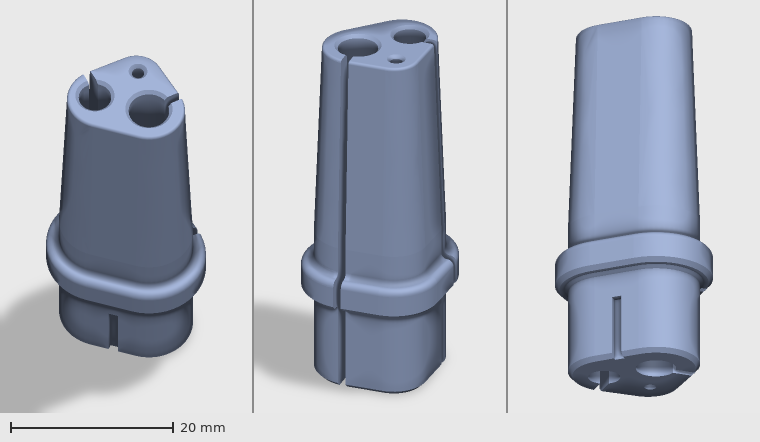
import cadquery as cq
import math

corner_x = 2.95
apex_y = 4.3
flange_corner_radius = 7.03
flange_apex_radius = 5.845
flange_overhang = 1.6
taper_inset = 1.0

total_height = 45.5
flange_bottom = 11.5
flange_top = 15.55
taper_start = 19.55

bottom_chamfer = 0.55
flange_lower_chamfer = 0.55
flange_upper_fillet = 0.8
lower_neck_chamfer = 0.4
upper_neck_fillet = 0.7
top_fillet = 0.35
hole_chamfer = 0.4

holes = [(corner_x, 0, 5.0), (-4.0, 0, 4.0), (0, 5.05, 1.5)]

slit_width = 1.0
slit_angle = 45.0
slit_length = 13.65

key_width = 1.27
key_height = 8.0
key_depth = 1.0


def outline(inset, z):
    """Closed rounded-triangle wire at height z, inset from the flange outline."""
    corner_radius = flange_corner_radius - inset
    apex_radius = flange_apex_radius - inset
    spacing = math.hypot(corner_x, apex_y)
    normal_angle = math.atan2(apex_y, -corner_x) - math.acos((corner_radius - apex_radius) / spacing)
    nx = math.cos(normal_angle)
    ny = math.sin(normal_angle)
    mid_angle = (normal_angle - math.pi / 2) / 2
    mid_x = corner_x + corner_radius * math.cos(mid_angle)
    mid_y = corner_radius * math.sin(mid_angle)
    tangent_x = corner_x + corner_radius * nx
    tangent_y = corner_radius * ny
    apex_tangent_x = apex_radius * nx
    apex_tangent_y = apex_y + apex_radius * ny
    return (
        cq.Workplane("XY", origin=(0, 0, z))
        .moveTo(-corner_x, -corner_radius)
        .lineTo(corner_x, -corner_radius)
        .threePointArc((mid_x, mid_y), (tangent_x, tangent_y))
        .lineTo(apex_tangent_x, apex_tangent_y)
        .threePointArc((0, apex_y + apex_radius), (-apex_tangent_x, apex_tangent_y))
        .lineTo(-tangent_x, tangent_y)
        .threePointArc((-mid_x, mid_y), (-corner_x, -corner_radius))
        .close()
    )


def front_edge(inset, z):
    """Selector for the straight front edge of an outline at height z."""
    return cq.selectors.NearestToPointSelector((0, inset - flange_corner_radius, z))


def make_body():
    flange = outline(0, flange_bottom).extrude(flange_top - flange_bottom)
    flange = flange.faces("<Z").chamfer(flange_lower_chamfer)
    flange = flange.edges(front_edge(0, flange_top)).fillet(flange_upper_fillet)

    core = outline(flange_overhang, 0).extrude(taper_start)
    core = core.faces("<Z").chamfer(bottom_chamfer)

    taper_height = total_height - taper_start
    draft = math.degrees(math.atan(taper_inset / taper_height))
    sleeve = outline(flange_overhang, taper_start).extrude(taper_height, taper=draft)
    sleeve = sleeve.faces(">Z").edges().fillet(top_fillet)

    body = flange.union(core).union(sleeve)
    body = body.edges(front_edge(flange_overhang, flange_top)).fillet(upper_neck_fillet)
    return body.edges(front_edge(flange_overhang, flange_bottom)).chamfer(lower_neck_chamfer)


def hole_cutter(x, y, diameter):
    """Through hole with a chamfered mouth at the top."""
    bore = cq.Workplane("XY").center(x, y).circle(diameter / 2).extrude(total_height)
    mouth = (
        cq.Workplane("XY", origin=(x, y, total_height - hole_chamfer))
        .circle(diameter / 2)
        .workplane(offset=hole_chamfer)
        .circle(diameter / 2 + hole_chamfer)
        .loft()
    )
    return bore.union(mouth)


def slit_cutter(side):
    """Full-height slit running outward and rearward; side is +1 or -1."""
    direction = slit_angle if side > 0 else 180 - slit_angle
    return (
        cq.Workplane("XY")
        .box(slit_length, slit_width, total_height, centered=(False, True, False))
        .rotate((0, 0, 0), (0, 0, 1), direction)
        .translate((side * corner_x, 0, 0))
    )


def key_cutter():
    front_y = flange_overhang - flange_corner_radius
    return (
        cq.Workplane("XY", origin=(0, front_y, 0))
        .box(key_width, key_depth, key_height, centered=(True, False, False))
    )


result = make_body()
for hole in holes:
    result = result.cut(hole_cutter(*hole))
for slit_side in (1, -1):
    result = result.cut(slit_cutter(slit_side))
result = result.cut(key_cutter())